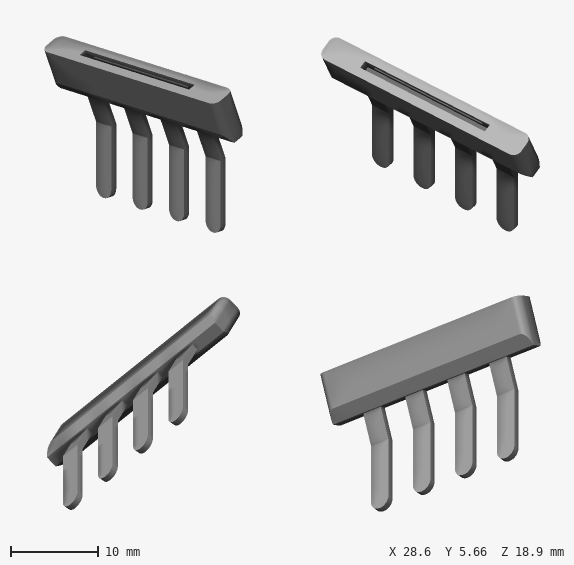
import cadquery as cq
import math

body_length = 28.6
body_thickness = 3.17
body_height = 6.0
lean_angle = 22.2
corner_radius = 1.0
taper_inset = 0.85
taper_angle = 29.0
taper_height = taper_inset / math.tan(math.radians(taper_angle))

pin_count = 4
pin_pitch = 5.98
pin_width = 2.5
pin_thickness = 0.8
bend_height = 8.98
neck_length = 4.03

slot_length = (pin_count - 1) * pin_pitch
slot_width = 0.97
slot_depth = 1.4

bead_radius = 0.2
bead_inset = 0.1
bead_depth = 0.75
bead_length = slot_length - pin_width


def make_body():
    """Upright body standing on Z = 0, with rounded ends and a tapered foot."""
    half_thickness = body_thickness / 2
    foot_half = half_thickness - taper_inset
    block = (
        cq.Workplane("XY")
        .rect(body_length, body_thickness)
        .extrude(body_height)
        .edges("|Z")
        .fillet(corner_radius)
    )
    tapered_profile = (
        cq.Workplane("YZ")
        .moveTo(-foot_half, 0)
        .lineTo(foot_half, 0)
        .lineTo(half_thickness, taper_height)
        .lineTo(half_thickness, body_height)
        .lineTo(-half_thickness, body_height)
        .lineTo(-half_thickness, taper_height)
        .close()
        .extrude(body_length / 2, both=True)
    )
    slot = (
        cq.Workplane("XY")
        .workplane(offset=body_height - slot_depth)
        .rect(slot_length, slot_width)
        .extrude(slot_depth)
    )
    bead_offset = slot_width / 2 + bead_inset
    beads = (
        cq.Workplane("YZ")
        .pushPoints([(side * bead_offset, body_height - bead_depth) for side in (-1, 1)])
        .circle(bead_radius)
        .extrude(bead_length / 2, both=True)
    )
    return block.intersect(tapered_profile).cut(slot).union(beads)


def lean(shape):
    """Raise a shape above its neck and tilt it about the pin bend."""
    return (
        shape.translate((0, 0, neck_length))
        .rotate((0, 0, 0), (1, 0, 0), lean_angle)
        .translate((0, 0, bend_height))
    )


def make_pin(x_centre):
    """Bent flat pin with a full-round tip at Z = 0."""
    half_thickness = pin_thickness / 2
    half_width = pin_width / 2
    angle = math.radians(lean_angle)
    miter_rise = half_thickness * math.tan(angle / 2)
    neck_y = -neck_length * math.sin(angle)
    neck_z = bend_height + neck_length * math.cos(angle)
    across_y = half_thickness * math.cos(angle)
    across_z = half_thickness * math.sin(angle)
    strip = (
        cq.Workplane("YZ")
        .moveTo(-half_thickness, 0)
        .lineTo(half_thickness, 0)
        .lineTo(half_thickness, bend_height + miter_rise)
        .lineTo(neck_y + across_y, neck_z + across_z)
        .lineTo(neck_y - across_y, neck_z - across_z)
        .lineTo(-half_thickness, bend_height - miter_rise)
        .close()
        .extrude(half_width, both=True)
    )
    pin_top = neck_z + across_z
    front_outline = (
        cq.Workplane("XZ")
        .moveTo(-half_width, pin_top)
        .lineTo(-half_width, half_width)
        .threePointArc((0, 0), (half_width, half_width))
        .lineTo(half_width, pin_top)
        .close()
        .extrude(body_length, both=True)
    )
    return strip.intersect(front_outline).translate((x_centre, 0, 0))


result = lean(make_body())
for index in range(pin_count):
    pin_x = (index - (pin_count - 1) / 2) * pin_pitch
    result = result.union(make_pin(pin_x))